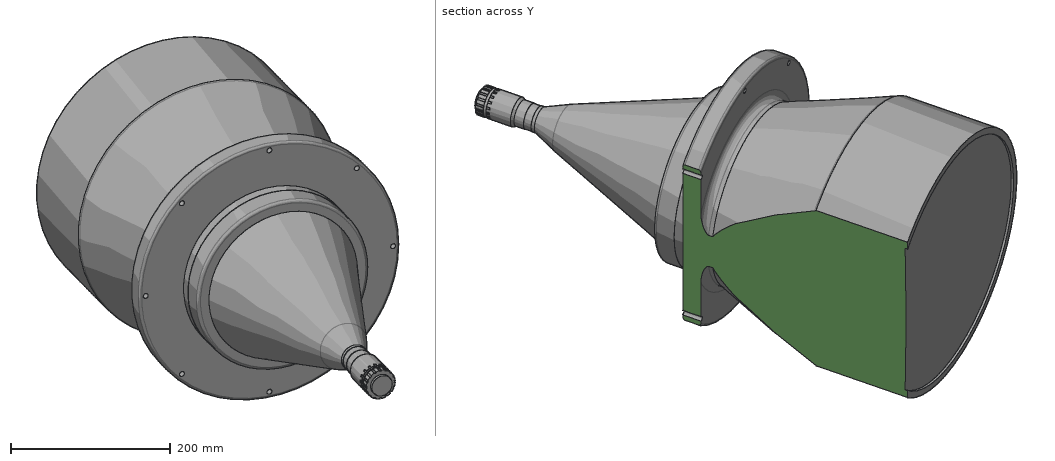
import cadquery as cq
import math

length = 666.5

outer_diameter = 358.0

barrel_radius = outer_diameter / 2
barrel_end = 129.0
barrel_edge_width = 2.0
barrel_edge_drop = 1.0
window_radius = 170.0
window_recess = 3.0
window_dome_height = 2.5

neck_radius = 123.0
neck_start = 275.0
neck_fillet = 10.5

flange_radius = outer_diameter / 2
flange_start = 292.0
flange_end = 318.0
flange_edge_round = 3.0
bolt_count = 8
bolt_circle_radius = 170.0
bolt_hole_diameter = 6.5

hub_radius = 118.0
hub_step_start = 331.0
hub_step_depth = 0.3
hub_rear_radius = hub_radius - hub_step_depth
hub_end = 360.5
hub_edge_round = 4.0

cone_base_radius = 102.0
cone_break = 547.0
cone_break_radius = 32.0
cone_end = 580.5

stem_diameter = 35.0
stem_radius = stem_diameter / 2
stem_relief_start = 585.0
stem_relief_end = 596.0
stem_relief_depth = 0.45
stem_relief_radius = stem_radius - stem_relief_depth
stem_end = 609.0

sleeve_start = 613.0
sleeve_radius = 20.0
grip_start = 643.0
grip_groove_start = 648.0
grip_groove_end = 652.0
grip_groove_depth = 0.5
grip_end = 662.5
grip_slot_count = 16
grip_slot_width = 2.5
grip_slot_depth = 1.0
tip_radius = 14.0


def make_body():
    """Solid of revolution, without the details cut into it."""
    flange_fillet_start = flange_start - neck_fillet
    half_quarter = math.pi / 4
    fillet_run = neck_fillet * math.sin(half_quarter)
    fillet_rise = neck_fillet * (1 - math.cos(half_quarter))
    profile = (
        cq.Workplane("XY")
        .moveTo(0, 0)
        .lineTo(0, barrel_radius)
        .lineTo(barrel_end, barrel_radius)
        .lineTo(barrel_end + barrel_edge_width, barrel_radius - barrel_edge_drop)
        .lineTo(neck_start, neck_radius)
        .lineTo(flange_fillet_start, neck_radius)
        .threePointArc(
            (flange_fillet_start + fillet_run, neck_radius + fillet_rise),
            (flange_start, neck_radius + neck_fillet),
        )
        .lineTo(flange_start, flange_radius)
        .lineTo(flange_end, flange_radius)
        .lineTo(flange_end, hub_radius)
        .lineTo(hub_step_start, hub_radius)
        .lineTo(hub_step_start, hub_rear_radius)
        .lineTo(hub_end, hub_rear_radius)
        .lineTo(hub_end, cone_base_radius)
        .lineTo(cone_break, cone_break_radius)
        .lineTo(cone_end, stem_radius)
        .lineTo(stem_relief_start, stem_radius)
        .lineTo(stem_relief_start, stem_relief_radius)
        .lineTo(stem_relief_end, stem_relief_radius)
        .lineTo(stem_relief_end, stem_radius)
        .lineTo(stem_end, stem_radius)
        .lineTo(sleeve_start, sleeve_radius)
        .lineTo(grip_end, sleeve_radius)
        .lineTo(grip_end, tip_radius)
        .lineTo(length, tip_radius)
        .lineTo(length, 0)
        .close()
    )
    return profile.revolve(360, (0, 0, 0), (1, 0, 0))


def round_rim(body, x, radius, fillet):
    """Round the circular edge of the given radius at station x."""
    tolerance = 0.05
    corner_low = (x - tolerance, -radius - tolerance, -radius - tolerance)
    corner_high = (x + tolerance, radius + tolerance, radius + tolerance)
    rim = cq.selectors.BoxSelector(corner_low, corner_high, boundingbox=True)
    outermost = cq.selectors.RadiusNthSelector(-1)
    return body.edges(rim).edges(outermost).fillet(fillet)


def make_grip_groove():
    """Ring that cuts the shallow groove between the two gripping bands."""
    return (
        cq.Workplane("YZ", origin=(grip_groove_start, 0, 0))
        .circle(sleeve_radius)
        .circle(sleeve_radius - grip_groove_depth)
        .extrude(grip_groove_end - grip_groove_start)
    )


def make_window_pocket():
    """Shallow round pocket whose floor is a convex dome."""
    dome_radius = (window_radius**2 + window_dome_height**2) / (2 * window_dome_height)
    dome_apex = window_recess - window_dome_height
    mid_radius = window_radius / 2
    mid_x = dome_apex + dome_radius - math.sqrt(dome_radius**2 - mid_radius**2)
    return (
        cq.Workplane("XY")
        .moveTo(0, 0)
        .lineTo(0, window_radius)
        .lineTo(window_recess, window_radius)
        .threePointArc((mid_x, mid_radius), (dome_apex, 0))
        .close()
        .revolve(360, (0, 0, 0), (1, 0, 0))
    )


def make_bolt_holes():
    """Through holes evenly spaced round the flange."""
    return (
        cq.Workplane("YZ", origin=(flange_start, 0, 0))
        .polarArray(bolt_circle_radius, 0, 360, bolt_count)
        .circle(bolt_hole_diameter / 2)
        .extrude(flange_end - flange_start)
    )


def make_grip_slots(start, end):
    """Lengthwise slots evenly spaced round one gripping band."""
    return (
        cq.Workplane("YZ", origin=(start, 0, 0))
        .polarArray(sleeve_radius, 0, 360, grip_slot_count)
        .rect(2 * grip_slot_depth, grip_slot_width)
        .extrude(end - start)
    )


body = make_body()
body = round_rim(body, flange_start, flange_radius, flange_edge_round)
body = round_rim(body, flange_end, flange_radius, flange_edge_round)
body = round_rim(body, hub_end, hub_rear_radius, hub_edge_round)

body = body.cut(make_window_pocket())
body = body.cut(make_bolt_holes())
body = body.cut(make_grip_groove())
body = body.cut(make_grip_slots(grip_start, grip_groove_start))
result = body.cut(make_grip_slots(grip_groove_end, grip_end))